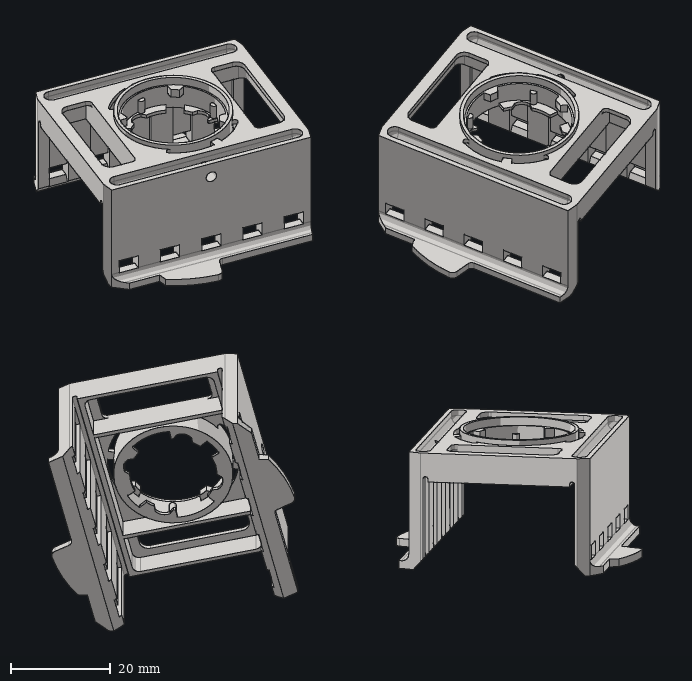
import cadquery as cq
import math

depth = 45.3
wall_outer_x = 18.5
wall_inner_x = 15.45
plate_top = 24.1
plate_thickness = 1.05
skirt_bottom = 18.2
skirt_half_x = 14.5
half_depth = depth / 2

foot_half_x = 20.7
foot_thickness = 1.65
foot_fillet = 1.6
inner_chamfer_x = 2.1
inner_chamfer_z = 2.3

taper = math.tan(math.radians(15))
taper_start_x = 16.0
clipped_corner_y = 19.05

tab_radius = 25.45
tab_tip_x = 22.5
tab_low_corner_y = 0.55
tab_corner_radius = 1.25
tab_root_radius = 0.9

cavity_half_x = 13.3
skirt_thickness = 0.8
rib_outer_y = 13.2
cavity_corner_radius = 1.4

window_half_x = 11.35
window_outer_y = 20.1
window_outer_radius = 1.9
window_inner_radius = 1.0

groove_x = 15.95
groove_radius = 3.0 / 2
groove_straight_half = 19.6
groove_wall_height = 1.15
cross_hole_diameter = 2.3
cross_hole_z = 20.85
cross_hole_end_x = 14.65

opening_count = 5
opening_pitch = 9.1
opening_width = 4.2
opening_bottom = 3.1
opening_top = 6.05
pocket_depth = 0.8
sill_edge_x = 16.7
sill_slope = 62

ring_top = 25.15
ring_outer_radius = 23.95 / 2
bore_radius = 21.2 / 2
mouth_top_radius = 11.25
mouth_bottom_radius = 11.0
ledge_z = 23.55

slot_outer_radius = 13.2
slot_spans = [(152.3, 194.2), (234.7, 203.1)]

block_first_angle = 63.0
block_inner_radius = 9.3
block_outer_half_angle = 9.4
block_inner_half_angle = 5.4
block_bottom = 21.65
keyed_quarter = 2
keyed_outer_lead = 6.0
keyed_inner_lead = -3.5
shelf_top = 18.95
shelf_inner_radius = 8.75
shelf_spans = [(-15.0, 51.0), (100.5, 141.5)]
shelf_edge_flare = 1.7
bite_first_angle = 26.3
bite_mouth_half = 2.0
bite_neck_half = 1.5
bite_neck_radius = 9.6
bite_deepest_radius = 10.15
pin_first_angle = 13.9
pin_radius = 0.7
pin_centre_radius = 10.35
pin_top = 21.95

relief_radius = (wall_inner_x - skirt_half_x) / 2
relief_top = 19.25
overlap = 0.5
pick_margin = 0.05


def block(x_range, y_range, z_range):
    """Axis-aligned box from its limits."""
    (x0, x1), (y0, y1), (z0, z1) = x_range, y_range, z_range
    return cq.Workplane("XY").box(x1 - x0, y1 - y0, z1 - z0, centered=False).translate((x0, y0, z0))


def polar(radius, angle):
    return (radius * math.cos(math.radians(angle)), radius * math.sin(math.radians(angle)))


def half_turn(solid):
    """The same solid turned 180 degrees about Z."""
    return solid.rotate((0, 0, 0), (0, 0, 1), 180)


def sector(inner, outer, inner_span, outer_span, bottom, top):
    """Ring sector whose end faces run between the given inner and outer angles."""
    a0, a1 = inner_span
    b0, b1 = outer_span
    return (
        cq.Workplane("XY", origin=(0, 0, bottom))
        .moveTo(*polar(inner, a0))
        .lineTo(*polar(outer, b0))
        .threePointArc(polar(outer, (b0 + b1) / 2), polar(outer, b1))
        .lineTo(*polar(inner, a1))
        .threePointArc(polar(inner, (a0 + a1) / 2), polar(inner, a0))
        .close()
        .extrude(top - bottom)
    )


def make_wall():
    """Right-hand side wall with its foot, before the plan outline is applied."""
    corner = foot_thickness + foot_fillet
    arc_offset = foot_fillet * (1 - math.sqrt(0.5))
    return (
        cq.Workplane("XZ", origin=(0, half_depth, 0))
        .moveTo(skirt_half_x, plate_top)
        .lineTo(wall_outer_x, plate_top)
        .lineTo(wall_outer_x, corner)
        .threePointArc(
            (wall_outer_x + arc_offset, foot_thickness + arc_offset),
            (wall_outer_x + foot_fillet, foot_thickness),
        )
        .lineTo(foot_half_x, foot_thickness)
        .lineTo(foot_half_x, 0)
        .lineTo(wall_inner_x + inner_chamfer_x, 0)
        .lineTo(wall_inner_x, inner_chamfer_z)
        .lineTo(wall_inner_x, relief_top - relief_radius)
        .threePointArc(
            (wall_inner_x - relief_radius, relief_top),
            (skirt_half_x, relief_top - relief_radius),
        )
        .close()
        .extrude(depth)
    )


def make_plan_outline():
    wall_y = half_depth - taper * (wall_outer_x - taper_start_x)
    foot_y = half_depth - taper * (foot_half_x - taper_start_x)
    half = [
        (-taper_start_x, half_depth),
        (-wall_outer_x, wall_y),
        (-foot_half_x, clipped_corner_y),
        (-foot_half_x, -foot_y),
        (-taper_start_x, -half_depth),
    ]
    other_half = [(-x, -y) for x, y in half]
    return cq.Workplane("XY").polyline(half + other_half).close().extrude(plate_top)


def make_tab():
    """Left-hand handle tab; its straight edges follow the 15 degree taper."""
    root_x = foot_half_x
    fillet_room = 2 * tab_root_radius
    tip_y = math.sqrt(tab_radius**2 - tab_tip_x**2)
    low_x = math.sqrt(tab_radius**2 - tab_low_corner_y**2)
    middle_y = (tip_y + tab_low_corner_y) / 2
    middle = (-math.sqrt(tab_radius**2 - middle_y**2), middle_y)
    root_high_y = tip_y + taper * (tab_tip_x - root_x)
    root_low_y = tab_low_corner_y - taper * (low_x - root_x)
    inner_x = root_x - overlap
    tab = (
        cq.Workplane("XY")
        .moveTo(-inner_x, root_high_y)
        .lineTo(-root_x, root_high_y)
        .lineTo(-tab_tip_x, tip_y)
        .threePointArc(middle, (-low_x, tab_low_corner_y))
        .lineTo(-root_x, root_low_y)
        .lineTo(-root_x, root_low_y - fillet_room)
        .lineTo(-inner_x, root_low_y - fillet_room)
        .close()
        .extrude(foot_thickness)
    )

    def upright_edge(x, y):
        low = (x - pick_margin, y - pick_margin, 0)
        high = (x + pick_margin, y + pick_margin, foot_thickness)
        return cq.selectors.BoxSelector(low, high)

    tab = tab.edges(upright_edge(-low_x, tab_low_corner_y)).fillet(tab_corner_radius)
    return tab.edges(upright_edge(-root_x, root_low_y)).fillet(tab_root_radius)


def make_end_cavity():
    """Space between rib and skirt at the +Y end, below the plate."""
    cavity = block(
        (-cavity_half_x, cavity_half_x),
        (rib_outer_y, half_depth - skirt_thickness),
        (skirt_bottom, plate_top - plate_thickness),
    )
    return cavity.edges("|Z and >Y").fillet(cavity_corner_radius)


def make_plate_window():
    window = block(
        (-window_half_x, window_half_x),
        (rib_outer_y, window_outer_y),
        (skirt_bottom, plate_top),
    )
    window = window.edges("|Z and >Y").fillet(window_outer_radius)
    return window.edges("|Z and <Y").fillet(window_inner_radius)


def make_groove():
    """Upright-sided slot in the top face with a rounded bottom and ball ends."""
    centre_z = plate_top - groove_wall_height
    groove = (
        cq.Workplane("XY", origin=(groove_x, 0, centre_z))
        .slot2D(2 * (groove_straight_half + groove_radius), 2 * groove_radius, 90)
        .extrude(groove_wall_height)
    )
    bottom = (
        cq.Workplane("XZ", origin=(groove_x, groove_straight_half, centre_z))
        .circle(groove_radius)
        .extrude(2 * groove_straight_half)
    )
    groove = groove.union(bottom)
    for y in (-groove_straight_half, groove_straight_half):
        groove = groove.union(cq.Workplane("XY").sphere(groove_radius).translate((groove_x, y, centre_z)))
    return groove


def make_wall_opening(y):
    """Opening through the right wall, its inner pocket and its sloping sill."""
    y_range = (y - opening_width / 2, y + opening_width / 2)
    sill_low_x = wall_inner_x - overlap
    sill_drop = (sill_edge_x - sill_low_x) * math.tan(math.radians(sill_slope))
    opening = block((wall_inner_x, foot_half_x), y_range, (opening_bottom, opening_top))
    pocket = block(
        (wall_inner_x - overlap, wall_inner_x + pocket_depth),
        y_range,
        (opening_bottom, relief_top - relief_radius),
    )
    sill = (
        cq.Workplane("XZ", origin=(0, y_range[1], 0))
        .moveTo(sill_edge_x, opening_bottom)
        .lineTo(sill_low_x, opening_bottom)
        .lineTo(sill_low_x, opening_bottom - sill_drop)
        .close()
        .extrude(opening_width)
    )
    return opening.union(pocket).union(sill)


def make_arc_slots():
    """Two slots through the plate on the -X side, each with one rounded end.

    They reach inside the ring outline, where the ring fills them again.
    """
    bottom = plate_top - plate_thickness - overlap
    middle_radius = (ring_outer_radius + slot_outer_radius) / 2
    end_radius = (slot_outer_radius - ring_outer_radius) / 2
    slots = cq.Workplane("XY")
    for span in slot_spans:
        slot = sector(ring_outer_radius - overlap / 2, slot_outer_radius, span, span, bottom, plate_top)
        rounded_end = (
            cq.Workplane("XY", origin=(0, 0, bottom))
            .center(*polar(middle_radius, span[0]))
            .circle(end_radius)
            .extrude(plate_top - bottom)
        )
        slots = slots.add(slot.union(rounded_end))
    return slots.combine()


def make_bite():
    """Flared notch with a round bottom, cut into a shelf along +X."""
    return (
        cq.Workplane("XY", origin=(0, 0, skirt_bottom))
        .moveTo(shelf_inner_radius - overlap, -bite_mouth_half)
        .lineTo(shelf_inner_radius - overlap / 2, -bite_mouth_half)
        .lineTo(bite_neck_radius, -bite_neck_half)
        .threePointArc((bite_deepest_radius, 0), (bite_neck_radius, bite_neck_half))
        .lineTo(shelf_inner_radius - overlap / 2, bite_mouth_half)
        .lineTo(shelf_inner_radius - overlap, bite_mouth_half)
        .close()
        .extrude(shelf_top - skirt_bottom)
    )


def make_ring():
    """Tube with a conical mouth, catch blocks, shelves and pins inside."""
    ring = (
        cq.Workplane("XZ")
        .polyline([
            (bore_radius, skirt_bottom),
            (ring_outer_radius, skirt_bottom),
            (ring_outer_radius, ring_top),
            (mouth_top_radius, ring_top),
            (mouth_bottom_radius, ledge_z),
            (bore_radius, ledge_z),
        ])
        .close()
        .revolve(360, (0, 0, 0), (0, 1, 0))
    )
    root_radius = bore_radius + overlap / 2

    shelves = cq.Workplane("XY")
    for start, end in shelf_spans:
        shelf = sector(
            shelf_inner_radius, root_radius,
            (start, end), (start - shelf_edge_flare, end + shelf_edge_flare),
            skirt_bottom, shelf_top,
        )
        shelves = shelves.add(shelf).add(half_turn(shelf))
    shelves = shelves.combine()

    for quarter in range(4):
        turn = 90 * quarter
        shelves = shelves.cut(make_bite().rotate((0, 0, 0), (0, 0, 1), bite_first_angle + turn))
        centre = block_first_angle + turn
        inner_lead = block_inner_half_angle
        outer_lead = block_outer_half_angle
        if quarter == keyed_quarter:
            inner_lead = keyed_inner_lead
            outer_lead = keyed_outer_lead
        catch = sector(
            block_inner_radius, root_radius,
            (centre - inner_lead, centre + block_inner_half_angle),
            (centre - outer_lead, centre + block_outer_half_angle),
            block_bottom, ledge_z,
        )
        pin = (
            cq.Workplane("XY", origin=(0, 0, skirt_bottom))
            .center(*polar(pin_centre_radius, pin_first_angle + turn))
            .circle(pin_radius)
            .extrude(pin_top - skirt_bottom)
        )
        ring = ring.union(catch).union(pin)
    return ring.union(shelves)


wall = make_wall()
body = block((-skirt_half_x, skirt_half_x), (-half_depth, half_depth), (skirt_bottom, plate_top))
body = body.union(wall).union(half_turn(wall)).intersect(make_plan_outline())

rib_inner_y = rib_outer_y - skirt_thickness
body = body.cut(block(
    (-cavity_half_x, cavity_half_x),
    (-rib_inner_y, rib_inner_y),
    (skirt_bottom, plate_top - plate_thickness),
))
body = body.cut(cq.Workplane("XY").circle(ring_outer_radius - overlap).extrude(ring_top))

openings = cq.Workplane("XY")
for index in range(opening_count):
    openings = openings.add(make_wall_opening((index - (opening_count - 1) / 2) * opening_pitch))

for cutter in (make_end_cavity(), make_plate_window(), make_groove(), make_arc_slots(), openings.combine()):
    body = body.cut(cutter).cut(half_turn(cutter))

body = body.cut(
    cq.Workplane("YZ", origin=(cross_hole_end_x, 0, cross_hole_z))
    .circle(cross_hole_diameter / 2)
    .extrude(wall_outer_x - cross_hole_end_x)
)

tab = make_tab()
result = body.union(tab).union(half_turn(tab)).union(make_ring())